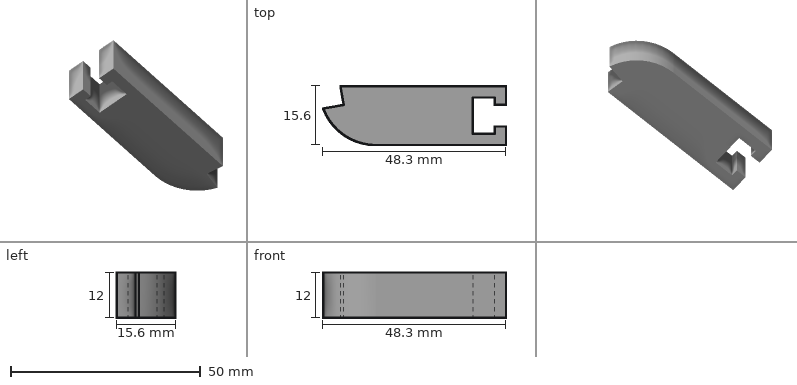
import cadquery as cq
import math

length = 48.3
width = 15.6
height = 12.0

nose_length = 13.95
tip_y = 9.7

notch_depth = 5.4
notch_tilt = math.radians(10)

slot_depth = 8.8
slot_width = 9.45
lip_thickness = 3.05
mouth_width = 5.65


def body():
    nose_radius = (nose_length**2 + tip_y**2) / (2 * tip_y)
    tip_angle = math.asin(nose_length / nose_radius)
    nose_middle = (
        nose_length - nose_radius * math.sin(tip_angle / 2),
        nose_radius * (1 - math.cos(tip_angle / 2)),
    )
    notch_y = tip_y + notch_depth * math.tan(notch_tilt)
    back_corner_x = notch_depth - (width - notch_y) * math.tan(notch_tilt)
    return (
        cq.Workplane("XY")
        .moveTo(nose_length, 0)
        .lineTo(length, 0)
        .lineTo(length, width)
        .lineTo(back_corner_x, width)
        .lineTo(notch_depth, notch_y)
        .lineTo(0, tip_y)
        .threePointArc(nose_middle, (nose_length, 0))
        .close()
        .extrude(height)
    )


def end_pocket(depth_from_end, pocket_width, start_from_end=0):
    """Full-height box centred across the width, measured inward from the end face."""
    return (
        cq.Workplane("XY")
        .box(depth_from_end - start_from_end, pocket_width, height, centered=(False, True, False))
        .translate((length - depth_from_end, width / 2, 0))
    )


slot = end_pocket(slot_depth, slot_width, lip_thickness)
mouth = end_pocket(slot_depth, mouth_width)

result = body().cut(slot).cut(mouth)